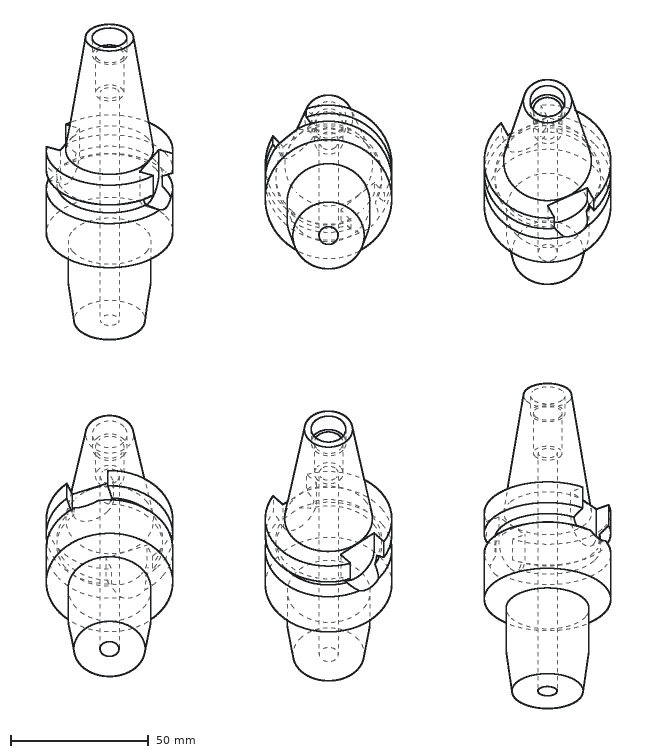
import cadquery as cq

total_length = 123.4
gauge_height = 75.0
flange_top = 74.3
groove_upper_edge = 65.6
groove_floor_top = 63.2
groove_floor_bottom = 59.7
groove_lower_edge = 57.5
body_bottom = 38.3
neck_top = 34.5
nose_taper_top = 16.7

flange_diameter = 46.0
flange_radius = flange_diameter / 2
groove_radius = 19.3
taper_small_radius = 8.8
taper_large_radius = 15.9
neck_radius = 15.0
nose_radius = 13.0

mouth_radius = 6.3
mouth_depth = 7.4
middle_radius = 5.2
middle_depth = 24.1
through_radius = 3.5

slot_width = 16.0
slot_floor_x = 16.0
slot_bottom = 56.0
slot_overrun = 1.2


def make_body():
    """Revolve the outer profile of taper, flange, neck and nose."""
    profile = [
        (0, 0),
        (nose_radius, 0),
        (neck_radius, nose_taper_top),
        (neck_radius, neck_top),
        (flange_radius, body_bottom),
        (flange_radius, groove_lower_edge),
        (groove_radius, groove_floor_bottom),
        (groove_radius, groove_floor_top),
        (flange_radius, groove_upper_edge),
        (flange_radius, flange_top),
        (taper_large_radius, flange_top),
        (taper_large_radius, gauge_height),
        (taper_small_radius, total_length),
        (0, total_length),
    ]
    return cq.Workplane("XZ").polyline(profile).close().revolve(360, (0, 0), (0, 1))


def make_bore(radius, depth):
    """Make a round cutter reaching down from the taper end."""
    return cq.Workplane("XY").workplane(offset=total_length - depth).circle(radius).extrude(depth)


def make_drive_slot(side):
    """Make a round-bottomed slot cutter on the +X (1) or -X (-1) side."""
    half_width = slot_width / 2
    arc_height = slot_bottom + half_width
    return (
        cq.Workplane("YZ", origin=(side * slot_floor_x, 0, 0))
        .moveTo(-half_width, flange_top)
        .lineTo(-half_width, arc_height)
        .threePointArc((0, slot_bottom), (half_width, arc_height))
        .lineTo(half_width, flange_top)
        .close()
        .extrude(side * (flange_radius - slot_floor_x + slot_overrun))
    )


result = make_body()
for bore_radius, bore_depth in (
    (mouth_radius, mouth_depth),
    (middle_radius, middle_depth),
    (through_radius, total_length),
):
    result = result.cut(make_bore(bore_radius, bore_depth))
for slot_side in (1, -1):
    result = result.cut(make_drive_slot(slot_side))